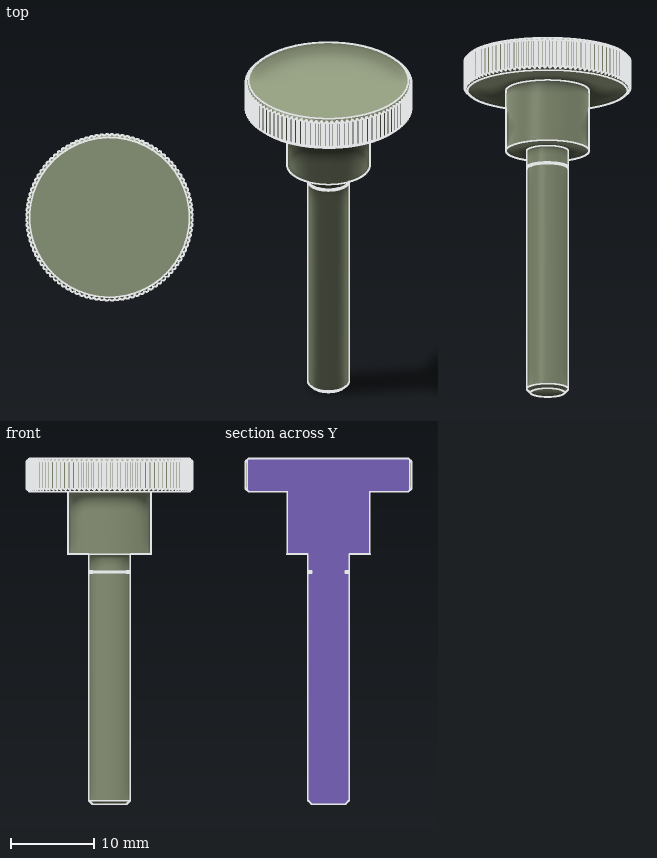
import cadquery as cq
import math

total_length = 41.5
head_diameter = 20.0
hub_diameter = head_diameter / 2
shank_diameter = head_diameter / 4

head_height = 4.03
hub_height = 7.45
neck_length = 2.05

head_chamfer = 0.4
tip_chamfer = 0.45
groove_width = 0.2
groove_depth = 0.45
knurl_count = 100
knurl_depth = 0.2

head_bottom = total_length - head_height
hub_bottom = head_bottom - hub_height
neck_bottom = hub_bottom - neck_length

head_radius = head_diameter / 2
hub_radius = hub_diameter / 2
shank_radius = shank_diameter / 2
groove_radius = shank_radius - groove_depth


def point_on_circle(radius, angle):
    return (radius * math.cos(angle), radius * math.sin(angle))


def knurled_disc():
    """Disc with straight 90 degree V grooves and flat-topped teeth between them."""
    pitch_angle = 2 * math.pi / knurl_count
    half_groove_angle = knurl_depth / head_radius
    outline = []
    for groove in range(knurl_count):
        angle = groove * pitch_angle
        outline.append(point_on_circle(head_radius, angle - half_groove_angle))
        outline.append(point_on_circle(head_radius - knurl_depth, angle))
        outline.append(point_on_circle(head_radius, angle + half_groove_angle))
    return cq.Workplane("XY").workplane(offset=head_bottom).polyline(outline).close().extrude(head_height)


def chamfered_envelope():
    """Smooth disc whose chamfered rims trim the ends of the teeth."""
    disc = cq.Workplane("XY").workplane(offset=head_bottom).circle(head_radius).extrude(head_height)
    return disc.faces("<Z or >Z").chamfer(head_chamfer)


def stem():
    """Hub and shank with a narrow relief groove below the neck, turned as one profile about Z."""
    profile = [
        (0, 0),
        (shank_radius - tip_chamfer, 0),
        (shank_radius, tip_chamfer),
        (shank_radius, neck_bottom - groove_width),
        (groove_radius, neck_bottom - groove_width),
        (groove_radius, neck_bottom),
        (shank_radius, neck_bottom),
        (shank_radius, hub_bottom),
        (hub_radius, hub_bottom),
        (hub_radius, head_bottom),
        (0, head_bottom),
    ]
    return cq.Workplane("XZ").polyline(profile).close().revolve(360, (0, 0), (0, 1))


head = knurled_disc().intersect(chamfered_envelope())
result = head.union(stem())